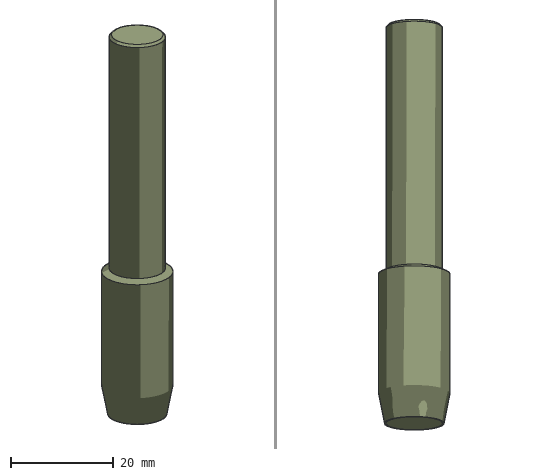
import cadquery as cq

total_length = 80.0
rod_diameter = 11.0
rod_chamfer = 0.5
sleeve_diameter = 14.0
sleeve_tip_diameter = 11.7
taper_length = 6.0
sleeve_straight_top = 30.0
shoulder_height = 0.7

rod_radius = rod_diameter / 2
sleeve_radius = sleeve_diameter / 2
sleeve_tip_radius = sleeve_tip_diameter / 2
sleeve_length = sleeve_straight_top + shoulder_height


def make_rod():
    """Full-length round rod with a chamfered upper end."""
    return cq.Workplane("XY").circle(rod_radius).extrude(total_length).faces(">Z").chamfer(rod_chamfer)


def make_sleeve():
    """Sleeve around the rod: tapered tip, straight barrel and sloping shoulder."""
    return (
        cq.Workplane("XZ")
        .moveTo(rod_radius, 0)
        .lineTo(sleeve_tip_radius, 0)
        .lineTo(sleeve_radius, taper_length)
        .lineTo(sleeve_radius, sleeve_straight_top)
        .lineTo(rod_radius, sleeve_length)
        .close()
        .revolve(360, (0, 0, 0), (0, 1, 0))
    )


rod = make_rod()
sleeve = make_sleeve()

result = cq.Compound.makeCompound([rod.val(), sleeve.val()])